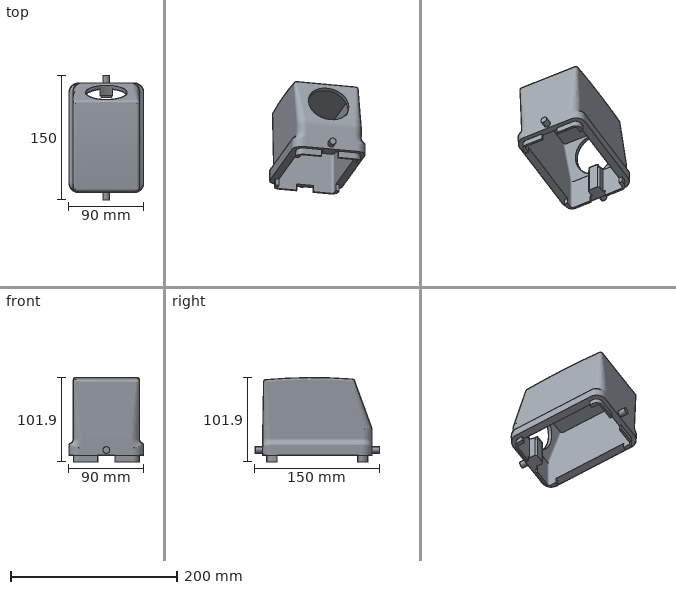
import cadquery as cq
import math

length_over_pins = 150.0
hood_length = 132.0
skirt_width = 90.0
body_width = 79.8
hood_height = 93.9

flare_top = 20.1
flare_radius = 6.0
ridge_radius = 2.4
draft_angle = 1.0
slope_angle = 20.0
slope_start = 31.8
knee_radius = 13.5
crown_radius = 612.0
crown_center_y = -5.7
top_edge_radius = 3.2
rim_corner_radius = 12.8
top_corner_radius = 3.0

side_wall = 4.5
end_wall = 7.5
slope_wall = 5.2
cavity_height = 86.2
cavity_corner_radius = 3.0

entry_center_y = 54.9
entry_radius = 24.9
entry_depth = 13.4
entry_chamfer_width = 2.2
entry_chamfer_depth = 0.3

rib_width = 15.3
rib_inner_y = 48.8
rib_height = 39.0
rib_chamfer = 2.1

pin_radius = 4.0
pin_height = 6.6

foot_height = 8.0
feet_width = 79.2
feet_length = 121.8
foot_gap_x = 20.7
foot_gap_y = 96.9
foot_corner_radius = 8.0

half_length = hood_length / 2
slope_rad = math.radians(slope_angle)
slope_tan = math.tan(slope_rad)
draft_tan = math.tan(math.radians(draft_angle))


def corner_radius(z):
    """Radius of the vertical outer corners at height z."""
    return rim_corner_radius - (rim_corner_radius - top_corner_radius) * z / hood_height


def front_y(z):
    """Y of the outer front face at height z."""
    return -half_length + max(0.0, z - flare_top) * draft_tan


def back_y(z):
    """Y of the outer back face at height z."""
    return half_length - max(0.0, z - slope_start) * slope_tan


def section(z, width, y_min, y_max, radius):
    """Rounded rectangle at height z."""
    sketch = cq.Sketch().rect(width, y_max - y_min).vertices().fillet(radius)
    return sketch.moved(cq.Location(cq.Vector(0, (y_min + y_max) / 2, z)))


def loft_up(sections):
    """Straight-sided solid through two sections."""
    return cq.Workplane().placeSketch(*sections).loft(ruled=True)


def outer_block(z_low, z_high, width):
    """Stretch of the outside between two heights, with the corner radius shrinking upward."""
    return loft_up([section(z, width, front_y(z), back_y(z), corner_radius(z)) for z in (z_low, z_high)])


def make_upper_body():
    """Body above the flare, with arched top and rounded top edges."""
    body = outer_block(flare_top, slope_start, body_width)
    body = body.union(outer_block(slope_start, hood_height, body_width))
    knee_point = (0, half_length, slope_start)
    body = body.edges(cq.selectors.NearestToPointSelector(knee_point)).fillet(knee_radius)
    crown = (
        cq.Workplane("YZ", origin=(-skirt_width / 2, 0, 0))
        .center(crown_center_y, hood_height - crown_radius)
        .circle(crown_radius)
        .extrude(skirt_width)
    )
    return body.intersect(crown).faces(">Z").edges().fillet(top_edge_radius)


def make_skirt():
    """Wide rim band; the body section swings outward about an axis beside each wall to form the shoulder."""
    flare_axis_x = body_width / 2 + flare_radius
    body_section = section(0, body_width, -half_length, half_length, corner_radius(flare_top))
    flare = (
        cq.Workplane(origin=(0, 0, flare_top))
        .placeSketch(body_section)
        .revolve(90, (flare_axis_x, 1.5, 0), (flare_axis_x, 0, 0))
    )
    right_half = cq.Workplane().box(skirt_width, 2 * hood_length, hood_height, centered=(False, True, False))
    skirt = outer_block(0, flare_top, skirt_width).intersect(right_half).intersect(flare)
    ridge = cq.selectors.BoxSelector(
        (body_width / 2 - flare_radius, -half_length, flare_top - 2 * flare_radius),
        (skirt_width, half_length, flare_top - flare_radius + ridge_radius / 2),
    )
    skirt = skirt.edges(ridge).fillet(ridge_radius)
    return skirt.union(skirt.mirror("YZ"))


def make_cavity():
    """Hollow open at the rim, following the end walls, the slope and the body sides."""
    front_inner_y = -half_length + end_wall
    back_inner_y = half_length - end_wall
    slope_wall_y = slope_wall / math.cos(slope_rad)
    bend_height = slope_start + (end_wall - slope_wall_y) / slope_tan
    width = body_width - 2 * side_wall
    low, bend, top = [
        section(z, width, front_inner_y, y, cavity_corner_radius)
        for z, y in (
            (-foot_height, back_inner_y),
            (bend_height, back_inner_y),
            (cavity_height, back_y(cavity_height) - slope_wall_y),
        )
    ]
    return loft_up([low, bend]).union(loft_up([bend, top]))


def make_feet():
    """Rounded rim below the hood, interrupted by gaps on all four sides."""
    ring = section(-foot_height, feet_width, -feet_length / 2, feet_length / 2, foot_corner_radius)
    feet = cq.Workplane().placeSketch(ring).extrude(foot_height)
    end_gap = cq.Workplane().box(foot_gap_x, hood_length, 2 * foot_height)
    side_gap = cq.Workplane().box(skirt_width, foot_gap_y, 2 * foot_height)
    return feet.cut(end_gap).cut(side_gap)


def make_rib():
    """Upright block on the inside of the back wall."""
    rib_depth = half_length - end_wall / 2 - rib_inner_y
    return (
        cq.Workplane(origin=(0, rib_inner_y, 0))
        .box(rib_width, rib_depth, rib_height, centered=(True, False, False))
        .edges("|Z and <Y")
        .chamfer(rib_chamfer)
    )


def make_cable_entry():
    """Chamfered bore, square to the sloping wall."""
    entry_center_z = slope_start + (half_length - entry_center_y) / slope_tan
    inward = cq.Vector(0, -math.cos(slope_rad), -math.sin(slope_rad))
    face = cq.Plane((0, entry_center_y, entry_center_z), (1, 0, 0), inward)
    bore = cq.Workplane(face).circle(entry_radius).extrude(entry_depth)
    chamfer = (
        cq.Workplane(face)
        .circle(entry_radius + entry_chamfer_width)
        .workplane(offset=entry_chamfer_depth)
        .circle(entry_radius)
        .loft()
    )
    return bore.union(chamfer)


def make_pins():
    """Pins standing out of the two end walls."""
    pin_length = (length_over_pins - hood_length) / 2 + end_wall / 2
    back_pin = (
        cq.Workplane("XZ", origin=(0, length_over_pins / 2, pin_height))
        .circle(pin_radius)
        .extrude(pin_length)
    )
    return back_pin.union(back_pin.mirror("XZ"))


shell = make_upper_body().union(make_skirt()).union(make_feet()).cut(make_cavity())
result = shell.union(make_rib()).cut(make_cable_entry()).union(make_pins())